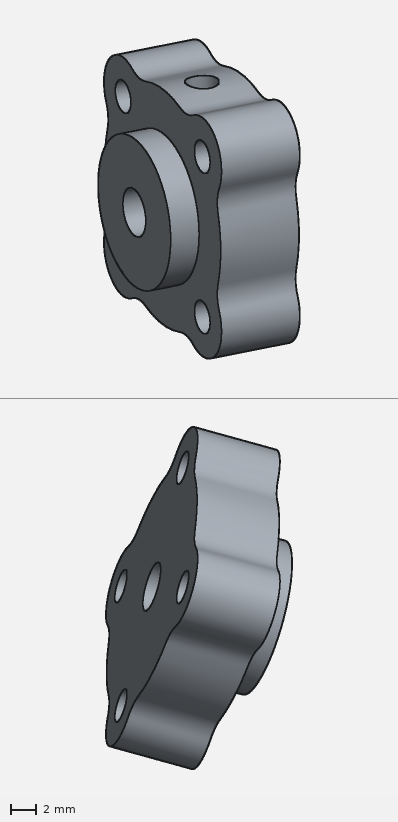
import cadquery as cq
import math

overall_width = 20.57
lobe_radius = 3.37
lobe_offset = overall_width / 2 - lobe_radius
disc_radius = 10.15
blend_radius = 3.0
flange_thickness = 7.0
boss_height = 2.53
boss_radius = 6.35
bore_radius = 2.0
screw_hole_radius = 1.35


def polar(radius, angle):
    """Point at a radius and angle (degrees) about the hub axis."""
    return (radius * math.cos(math.radians(angle)), radius * math.sin(math.radians(angle)))


def blend_tangents():
    """Polar positions of the tangent points and the midpoint of one concave blend.

    Angles are measured from the diagonal through the lobe centre.
    """
    lobe_distance = lobe_offset * math.sqrt(2)
    to_disc = disc_radius + blend_radius
    to_lobe = lobe_radius + blend_radius
    cosine = (lobe_distance**2 + to_disc**2 - to_lobe**2) / (2 * lobe_distance * to_disc)
    blend_angle = math.acos(cosine)
    center = cq.Vector(to_disc * cosine, to_disc * math.sin(blend_angle))
    toward_disc = center.normalized() * -1
    toward_lobe = (cq.Vector(lobe_distance, 0) - center).normalized()
    toward_middle = (toward_disc + toward_lobe).normalized()
    points = [center + way * blend_radius for way in (toward_disc, toward_middle, toward_lobe)]
    return [(p.Length, math.degrees(math.atan2(p.y, p.x))) for p in points]


def flange_profile():
    """Disc arcs and corner lobes joined by tangent concave arcs."""
    disc_end, blend_middle, lobe_end = blend_tangents()
    lobe_tip = lobe_offset * math.sqrt(2) + lobe_radius
    profile = cq.Workplane("XZ").moveTo(*polar(disc_end[0], 45 - disc_end[1]))
    for diagonal in (45, 135, 225, 315):
        def before(point):
            return polar(point[0], diagonal - point[1])

        def after(point):
            return polar(point[0], diagonal + point[1])

        next_disc_start = polar(disc_end[0], diagonal + 90 - disc_end[1])
        profile = (
            profile.threePointArc(before(blend_middle), before(lobe_end))
            .threePointArc(polar(lobe_tip, diagonal), after(lobe_end))
            .threePointArc(after(blend_middle), after(disc_end))
            .threePointArc(polar(disc_radius, diagonal + 45), next_disc_start)
        )
    return profile.close()


flange = flange_profile().extrude(flange_thickness)
boss = cq.Workplane("XZ", origin=(0, -flange_thickness, 0)).circle(boss_radius).extrude(boss_height)

bore = cq.Workplane("XZ").circle(bore_radius).extrude(flange_thickness + boss_height)
mounting_hole_radius = screw_hole_radius
mounting_holes = (
    cq.Workplane("XZ")
    .rect(2 * lobe_offset, 2 * lobe_offset, forConstruction=True)
    .vertices()
    .circle(mounting_hole_radius)
    .extrude(flange_thickness)
)

screw_hole = (
    cq.Workplane("XY", origin=(0, -flange_thickness / 2, 0))
    .circle(screw_hole_radius)
    .extrude(overall_width / 2)
)

result = flange.union(boss).cut(bore).cut(mounting_holes).cut(screw_hole)